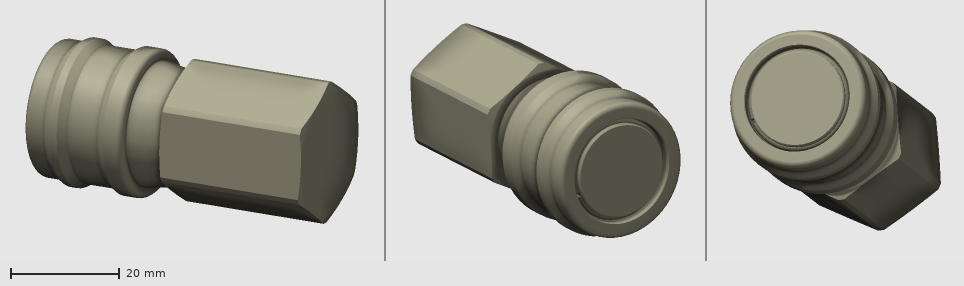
import cadquery as cq
import math

TOTAL_LENGTH = 56.51

BARREL_RADIUS = 13.0
RIB_RADIUS = 14.0
RIB_SLOPE_ANGLE = 30.0
SLEEVE_FILLET = 1.0
FRONT_RIB_START = 4.0
FRONT_RIB_END = 9.0
REAR_RIB_START = 15.0
SLEEVE_END = 20.5

NECK_FRONT_RADIUS = 11.9
NECK_TAPER_START = 20.9
NECK_TAPER_ANGLE = 10.0
NECK_FILLET = 1.0

HEX_START = 27.4
HEX_ACROSS_FLATS = 24.0
HEX_CORNER_RADIUS = 13.53
HEX_ROTATION = 4.3
HEX_CHAMFER_LENGTH = 0.42

MOUTH_RADIUS = 10.15
MOUTH_CHAMFER = 0.15
PLUG_FACE_X = 0.1
PLUG_RADIUS = 9.0
PLUG_CHAMFER = 0.25

RING_OUTER_RADIUS = 19.48 / 2
RING_INNER_RADIUS = 16.65 / 2
RING_X = 1.7
RING_GAP = 0.9
RING_GAP_ANGLE = 22.3
WIRE_RADIUS = (RING_OUTER_RADIUS - RING_INNER_RADIUS) / 2
RING_MEAN_RADIUS = RING_OUTER_RADIUS - WIRE_RADIUS


def revolve_about_x(profile):
    """Close a half profile drawn in XY (radius along Y) and spin it around X."""
    return profile.close().revolve(360, (0, 0, 0), (1, 0, 0))


def make_turned_body():
    rise = RIB_RADIUS - BARREL_RADIUS
    run = rise / math.tan(math.radians(RIB_SLOPE_ANGLE))
    corner = SLEEVE_FILLET

    taper = math.radians(NECK_TAPER_ANGLE)
    taper_end = HEX_START - NECK_FILLET * (1 - math.sin(taper))
    taper_end_radius = NECK_FRONT_RADIUS - (taper_end - NECK_TAPER_START) * math.tan(taper)
    neck_end_radius = taper_end_radius - NECK_FILLET * math.cos(taper)

    profile = (
        cq.Workplane("XY")
        .moveTo(0, 0)
        .lineTo(0, BARREL_RADIUS - corner)
        .radiusArc((corner, BARREL_RADIUS), corner)
        .lineTo(FRONT_RIB_START, BARREL_RADIUS)
        .lineTo(FRONT_RIB_START + run, RIB_RADIUS)
        .lineTo(FRONT_RIB_END - run, RIB_RADIUS)
        .lineTo(FRONT_RIB_END, BARREL_RADIUS)
        .lineTo(REAR_RIB_START, BARREL_RADIUS)
        .lineTo(REAR_RIB_START + run, RIB_RADIUS)
        .lineTo(SLEEVE_END - corner, RIB_RADIUS)
        .radiusArc((SLEEVE_END, RIB_RADIUS - corner), corner)
        .lineTo(SLEEVE_END, NECK_FRONT_RADIUS)
        .lineTo(NECK_TAPER_START, NECK_FRONT_RADIUS)
        .lineTo(taper_end, taper_end_radius)
        .radiusArc((HEX_START, neck_end_radius), NECK_FILLET)
        .lineTo(HEX_START, 0)
    )
    return revolve_about_x(profile)


def make_hexagon():
    length = TOTAL_LENGTH - HEX_START
    flat_radius = HEX_ACROSS_FLATS / 2
    prism = (
        cq.Workplane("YZ", origin=(HEX_START, 0, 0))
        .transformed(rotate=(0, 0, -HEX_ROTATION))
        .polygon(6, HEX_ACROSS_FLATS, circumscribed=True)
        .extrude(length)
    )
    envelope = revolve_about_x(
        cq.Workplane("XY")
        .moveTo(HEX_START, 0)
        .lineTo(HEX_START, flat_radius)
        .lineTo(HEX_START + HEX_CHAMFER_LENGTH, HEX_CORNER_RADIUS)
        .lineTo(TOTAL_LENGTH - HEX_CHAMFER_LENGTH, HEX_CORNER_RADIUS)
        .lineTo(TOTAL_LENGTH, flat_radius)
        .lineTo(TOTAL_LENGTH, 0)
    )
    return prism.intersect(envelope)


def make_mouth_recess():
    """Chamfered bore around the plug, ending in a 45 degree conical ring seat."""
    bore_radius = MOUTH_RADIUS - MOUTH_CHAMFER
    seat_depth = bore_radius - PLUG_RADIUS
    return revolve_about_x(
        cq.Workplane("XY")
        .moveTo(0, 0)
        .lineTo(PLUG_FACE_X, 0)
        .lineTo(PLUG_FACE_X, PLUG_RADIUS - PLUG_CHAMFER)
        .lineTo(PLUG_FACE_X + PLUG_CHAMFER, PLUG_RADIUS)
        .lineTo(RING_X + seat_depth, PLUG_RADIUS)
        .lineTo(RING_X, bore_radius)
        .lineTo(MOUTH_CHAMFER, bore_radius)
        .lineTo(0, MOUTH_RADIUS)
    )


def make_split_ring():
    gap_angle = math.degrees(RING_GAP / RING_MEAN_RADIUS)
    ring = (
        cq.Workplane("XY")
        .moveTo(RING_X, RING_MEAN_RADIUS)
        .circle(WIRE_RADIUS)
        .revolve(360 - gap_angle, (0, 0, 0), (1, 0, 0))
    )
    return ring.rotate((0, 0, 0), (1, 0, 0), gap_angle / 2 - RING_GAP_ANGLE)


split_ring = make_split_ring()

coupling_body = make_turned_body().union(make_hexagon())
coupling_body = coupling_body.cut(make_mouth_recess()).cut(split_ring)

result = cq.Compound.makeCompound([coupling_body.val(), split_ring.val()])